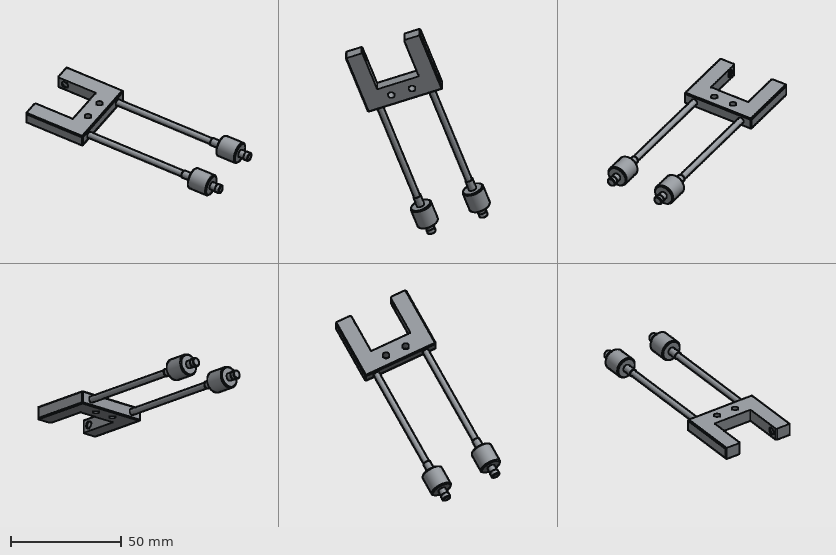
import cadquery as cq
import math

housing_length = 30.0
housing_width = 36.0
housing_height = 6.0
slot_depth = 20.0
slot_width = 20.0
edge_chamfer = 0.5
mount_hole_diameter = 3.0
mount_hole_x = (slot_depth + housing_length) / 2
mount_hole_spacing = 10.0

bore_diameter = 3.4
bore_x = 3.7
bore_depth = 0.6
lens_height = 0.5

cable_spacing = 25.0
cable_diameter = 3.0
cable_length = 50.0
stem_diameter = 3.6
front_stem_length = 5.0
nut_diameter = 10.0
nut_length = 10.0
nut_chamfer = 0.5
rear_stem_length = 2.8
tip_diameter = 4.0
tip_length = 2.2
tip_chamfer = 0.3

side_signs = (-1, 1)
connector_start = housing_length + cable_length


def make_bore_cutter():
    """Space of the +Y sensing bore: a cylinder hollowed by the convex lens."""
    radius = bore_diameter / 2
    opening_y = slot_width / 2
    floor_y = opening_y + bore_depth
    lens_top_y = floor_y - lens_height
    sphere_radius = (radius**2 + lens_height**2) / (2 * lens_height)
    half_angle = math.asin(radius / sphere_radius) / 2
    arc_middle = (
        sphere_radius * math.sin(half_angle),
        lens_top_y + sphere_radius * (1 - math.cos(half_angle)),
    )
    profile = cq.Workplane("XY").moveTo(0, lens_top_y)
    profile = profile.threePointArc(arc_middle, (radius, floor_y)).lineTo(radius, opening_y)
    profile = profile.lineTo(0, opening_y)
    return profile.close().revolve(360, (0, 0, 0), (0, 1, 0)).translate((bore_x, 0, 0))


def make_housing():
    """Fork opening toward -X, with mounting holes and sensing bores."""
    body = cq.Workplane("XY").box(
        housing_length, housing_width, housing_height, centered=(False, True, True)
    )
    body = body.edges(">X or (|X and (>Y or <Y)) or (|Z and <X)").chamfer(edge_chamfer)

    slot = cq.Workplane("XY").box(
        slot_depth, slot_width, housing_height, centered=(False, True, True)
    )
    body = body.cut(slot)
    inner_tip_edges = cq.selectors.BoxSelector(
        (-edge_chamfer, -slot_width / 2 - edge_chamfer, -housing_height),
        (edge_chamfer, slot_width / 2 + edge_chamfer, housing_height),
    )
    body = body.edges("|Z").edges(inner_tip_edges).chamfer(edge_chamfer)

    mount_holes = (
        cq.Workplane("XY", origin=(mount_hole_x, 0, -housing_height / 2))
        .pushPoints([(0, side * mount_hole_spacing / 2) for side in side_signs])
        .circle(mount_hole_diameter / 2)
        .extrude(housing_height)
    )
    body = body.cut(mount_holes)
    bore = make_bore_cutter()
    return body.cut(bore).cut(bore.mirror("XZ"))


def rod(start_x, y, diameter, length):
    """Round bar along +X, starting at start_x."""
    return cq.Workplane("YZ", origin=(start_x, y, 0)).circle(diameter / 2).extrude(length)


def make_cable(y):
    """Cable between the housing's closed end and a connector."""
    return rod(housing_length, y, cable_diameter, cable_length)


def make_connector(y):
    """Stem, chamfered round nut, stem and wider tip on one axis."""
    nut_start = connector_start + front_stem_length
    rear_stem_start = nut_start + nut_length
    tip_start = rear_stem_start + rear_stem_length
    front_stem = rod(connector_start, y, stem_diameter, front_stem_length)
    nut = rod(nut_start, y, nut_diameter, nut_length).edges().chamfer(nut_chamfer)
    rear_stem = rod(rear_stem_start, y, stem_diameter, rear_stem_length)
    tip = rod(tip_start, y, tip_diameter, tip_length).edges(">X").chamfer(tip_chamfer)
    return front_stem.union(nut).union(rear_stem).union(tip)


housing = make_housing()
cables = []
connectors = []
for side in side_signs:
    axis_y = side * cable_spacing / 2
    cables.append(make_cable(axis_y).val())
    connectors.append(make_connector(axis_y).val())

result = cq.Compound.makeCompound([housing.val(), *cables, *connectors])